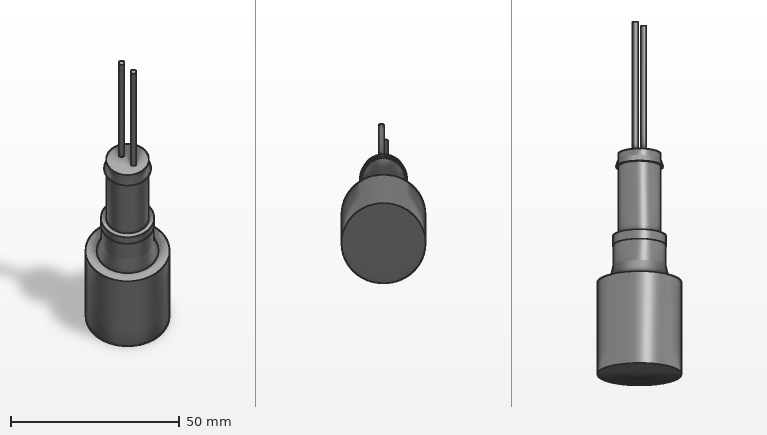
import cadquery as cq

base_diameter = 25.0
flare_foot_diameter = 18.4
sleeve_diameter = 15.7
collar_diameter = 15.8
stem_diameter = 12.7
barb_diameter = 14.0
wire_diameter = 1.7

base_top = 28.2
flare_top = 33.1
sleeve_top = 39.6
collar_top = 42.5
barb_bottom = 63.9
barb_top = 65.9
stem_top = 67.8
wire_top = 107.8

wire_spacing = 5.1
flare_bow = 0.1


def cylinder(diameter, bottom, top):
    """Upright cylinder on the main axis."""
    return cq.Workplane("XY").workplane(offset=bottom).circle(diameter / 2).extrude(top - bottom)


def flare():
    """Concave skirt that widens from the sleeve down to the base."""
    foot_radius = flare_foot_diameter / 2
    neck_radius = sleeve_diameter / 2
    middle = ((foot_radius + neck_radius) / 2 - flare_bow, (base_top + flare_top) / 2)
    return (
        cq.Workplane("XZ")
        .moveTo(0, base_top)
        .lineTo(foot_radius, base_top)
        .threePointArc(middle, (neck_radius, flare_top))
        .lineTo(0, flare_top)
        .close()
        .revolve(360, (0, 0), (0, 1))
    )


def barb():
    """Conical ring around the stem, widest at its flat lower edge."""
    return (
        cq.Workplane("XZ")
        .moveTo(0, barb_bottom)
        .lineTo(barb_diameter / 2, barb_bottom)
        .lineTo(stem_diameter / 2, barb_top)
        .lineTo(0, barb_top)
        .close()
        .revolve(360, (0, 0), (0, 1))
    )


def wires():
    """Pair of straight wires that stand on the end of the stem."""
    return (
        cq.Workplane("XY")
        .workplane(offset=stem_top)
        .pushPoints([(side * wire_spacing / 2, 0) for side in (-1, 1)])
        .circle(wire_diameter / 2)
        .extrude(wire_top - stem_top)
    )


result = (
    cylinder(base_diameter, 0, base_top)
    .union(flare())
    .union(cylinder(sleeve_diameter, flare_top, sleeve_top))
    .union(cylinder(collar_diameter, sleeve_top, collar_top))
    .union(cylinder(stem_diameter, collar_top, stem_top))
    .union(barb())
    .union(wires())
)